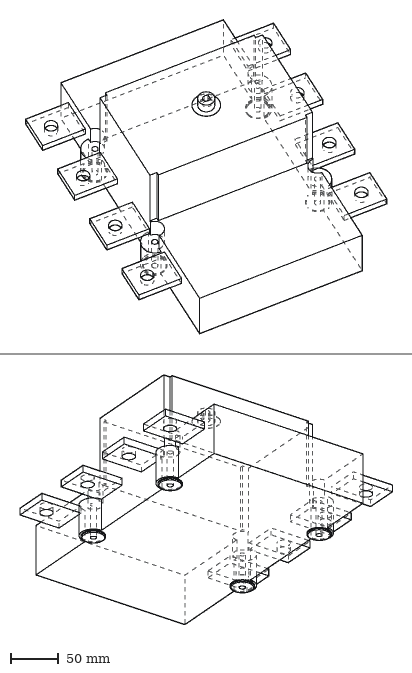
import cadquery as cq

base_length = 325.0
base_depth = 190.0
base_height = 58.8

assembly_x = -12.5

tower_length = 123.8
tower_top = 134.5
corner_step_x = 3.5
corner_step_y = 8.0

shaft_diameter = 18.0
shaft_height = 11.0
recess_diameter = 30.0
recess_depth = 0.3
socket_width = 7.5
socket_depth = 9.8

terminal_count = 4
terminal_pitch = 75.0
terminal_width = 40.0
terminal_thickness = 8.0
terminal_bottom = 37.0
terminal_span = 290.0
terminal_hole_diameter = 14.0
terminal_hole_span = 250.2

foot_spacing = 140.0
foot_diameter = 30.0
foot_top = terminal_bottom
pad_height = 2.3
pad_diameter = 25.7
pad_chamfer = 1.0
screw_hole_diameter = 6.5
screw_access_diameter = 20.0

foot_points = [
    (assembly_x + side_x * foot_spacing / 2, side_y * base_depth / 2)
    for side_x in (-1, 1)
    for side_y in (-1, 1)
]


def box(length, depth, bottom, top, x=0.0, y=0.0):
    """Upright box centred on (x, y) between two heights."""
    return (
        cq.Workplane("XY", origin=(x, y, bottom))
        .box(length, depth, top - bottom, centered=(True, True, False))
    )


def cylinders(points, diameter, bottom, top):
    """Equal upright cylinders between two heights."""
    return (
        cq.Workplane("XY", origin=(0, 0, bottom))
        .pushPoints(points)
        .circle(diameter / 2)
        .extrude(top - bottom)
    )


def make_tower():
    tower = box(tower_length, base_depth, base_height, tower_top, assembly_x)
    for side_x in (-1, 1):
        for side_y in (-1, 1):
            step = box(
                2 * corner_step_x,
                2 * corner_step_y,
                base_height,
                tower_top,
                assembly_x + side_x * tower_length / 2,
                side_y * base_depth / 2,
            )
            tower = tower.cut(step)
    recess = cylinders([(assembly_x, 0)], recess_diameter, tower_top - recess_depth, tower_top)
    return tower.cut(recess)


def make_shaft():
    shaft_top = tower_top + shaft_height
    shaft = cylinders([(assembly_x, 0)], shaft_diameter, tower_top - recess_depth, shaft_top)
    half_width = socket_width / 2
    socket = (
        cq.Workplane("XY", origin=(assembly_x, 0, shaft_top))
        .moveTo(-half_width, half_width)
        .lineTo(-half_width, 0)
        .threePointArc((0, -half_width), (half_width, 0))
        .lineTo(half_width, half_width)
        .close()
        .extrude(-socket_depth)
    )
    return shaft.cut(socket)


def make_terminals():
    terminal_top = terminal_bottom + terminal_thickness
    terminals = cq.Workplane("XY")
    for index in range(terminal_count):
        x = assembly_x + (index - (terminal_count - 1) / 2) * terminal_pitch
        bar = box(terminal_width, terminal_span, terminal_bottom, terminal_top, x)
        hole_points = [(x, side * terminal_hole_span / 2) for side in (-1, 1)]
        holes = cylinders(hole_points, terminal_hole_diameter, terminal_bottom, terminal_top)
        terminals = terminals.add(bar.cut(holes))
    return terminals.combine()


def make_feet():
    feet = cylinders(foot_points, foot_diameter, 0, foot_top)
    pads = cylinders(foot_points, pad_diameter, -pad_height, 0)
    pads = pads.faces("<Z").edges().chamfer(pad_chamfer)
    return feet.union(pads)


base = box(base_length, base_depth, 0, base_height)
screw_access = cylinders(foot_points, screw_access_diameter, foot_top, base_height)
screw_holes = cylinders(foot_points, screw_hole_diameter, -pad_height, foot_top)

result = (
    base.union(make_tower())
    .union(make_shaft())
    .union(make_terminals())
    .union(make_feet())
    .cut(screw_access)
    .cut(screw_holes)
)